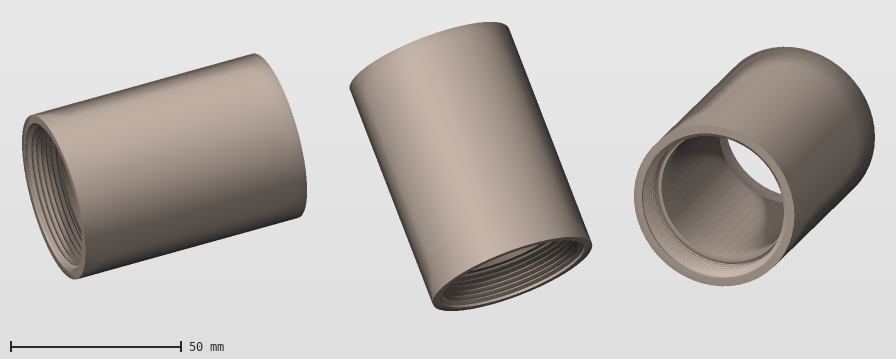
import cadquery as cq

length = 70.0
outer_radius = length / 2.8
bore_radius = outer_radius * 0.8

socket_depth = length / 7
thread_root_radius = outer_radius * 0.9
thread_crest_radius = 21.2
thread_count = 6
mouth_land = 0.7
floor_land = 0.3
thread_pitch = (socket_depth - mouth_land - floor_land) / thread_count


def cylinder(radius, start, end):
    """Solid cylinder along Y between two Y positions."""
    plane = cq.Plane(origin=(0, start, 0), xDir=(-1, 0, 0), normal=(0, 1, 0))
    return cq.Workplane(plane).circle(radius).extrude(end - start)


def threaded_socket():
    """Cutter for the socket at the -Y end, with V-shaped thread ridges."""
    mouth = -length / 2
    floor = mouth + socket_depth
    profile = cq.Workplane("XY").moveTo(0, mouth).lineTo(thread_root_radius, mouth)
    for turn in range(thread_count):
        start = mouth + mouth_land + turn * thread_pitch
        profile = profile.lineTo(thread_root_radius, start)
        profile = profile.lineTo(thread_crest_radius, start + thread_pitch / 2)
    profile = profile.lineTo(thread_root_radius, floor - floor_land)
    profile = profile.lineTo(thread_root_radius, floor).lineTo(0, floor).close()
    return profile.revolve(360, (0, 0, 0), (0, 1, 0))


half_length = length / 2
band_edge = half_length - socket_depth
body = cylinder(outer_radius, -band_edge, band_edge)
body = body.union(cylinder(outer_radius, -half_length, -band_edge), clean=False)
body = body.union(cylinder(outer_radius, band_edge, half_length), clean=False)
body = body.cut(cylinder(bore_radius, -half_length, half_length), clean=False)

socket = threaded_socket()
body = body.cut(socket, clean=False)
result = body.cut(socket.mirror("XZ"), clean=False)